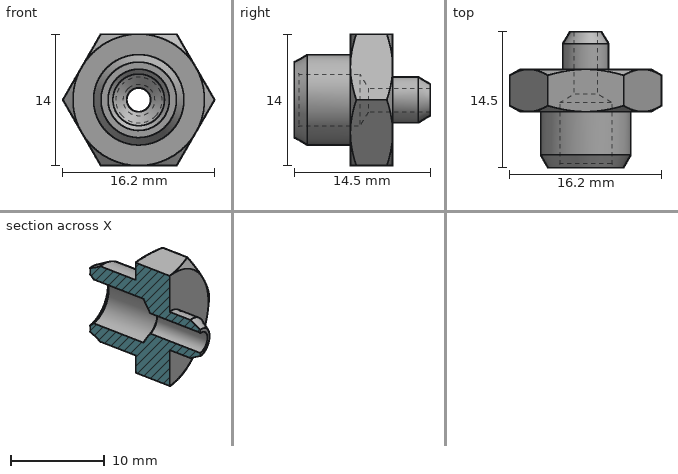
import cadquery as cq
import math

HEX_ACROSS_CORNERS = 16.17
HEX_ACROSS_FLATS = HEX_ACROSS_CORNERS * math.cos(math.radians(30))
HEX_THICKNESS = 4.5
HEX_CHAMFER_ANGLE = 30.0

FRONT_DIAMETER = 9.64
FRONT_TIP_DIAMETER = 8.04
FRONT_LENGTH = 6.0
FRONT_TAPER_LENGTH = 1.4

REAR_DIAMETER = 4.9
REAR_TIP_DIAMETER = 3.36
REAR_LENGTH = 4.01
REAR_TAPER_LENGTH = 1.28

MOUTH_DIAMETER = 6.53
BORE_DIAMETER = 5.5
BORE_DEPTH = 7.0
MOUTH_ANGLE = 45.0
DRILL_POINT_ANGLE = 118.0
THROUGH_DIAMETER = 2.5

FRONT_Y = -FRONT_LENGTH
REAR_Y = HEX_THICKNESS + REAR_LENGTH


def revolve_about_y(points):
    """Turn a closed (radius, y) outline about the Y axis."""
    return cq.Workplane("XY").polyline(points).close().revolve(360, (0, 0, 0), (0, 1, 0))


def hexagon():
    """Hexagonal prism with corners on X, both ends turned to a cone."""
    prism = (
        cq.Workplane("XZ")
        .polygon(6, HEX_ACROSS_CORNERS)
        .extrude(-HEX_THICKNESS)
    )
    face_radius = HEX_ACROSS_FLATS / 2
    slope = math.tan(math.radians(HEX_CHAMFER_ANGLE))
    rim_radius = HEX_ACROSS_CORNERS / 2 + 0.16
    rim_depth = (rim_radius - face_radius) * slope
    envelope = revolve_about_y([
        (0, 0),
        (face_radius, 0),
        (rim_radius, rim_depth),
        (rim_radius, HEX_THICKNESS - rim_depth),
        (face_radius, HEX_THICKNESS),
        (0, HEX_THICKNESS),
    ])
    return prism.intersect(envelope)


def spigots():
    """Both tapered spigots, joined by a core inside the hexagon."""
    return revolve_about_y([
        (0, FRONT_Y),
        (FRONT_TIP_DIAMETER / 2, FRONT_Y),
        (FRONT_DIAMETER / 2, FRONT_Y + FRONT_TAPER_LENGTH),
        (FRONT_DIAMETER / 2, 0),
        (REAR_DIAMETER / 2, HEX_THICKNESS),
        (REAR_DIAMETER / 2, REAR_Y - REAR_TAPER_LENGTH),
        (REAR_TIP_DIAMETER / 2, REAR_Y),
        (0, REAR_Y),
    ])


def passage():
    """Chamfered bore with a drill-point floor, continuing as a small through hole."""
    mouth_depth = (MOUTH_DIAMETER - BORE_DIAMETER) / 2 / math.tan(math.radians(MOUTH_ANGLE))
    bore_end = FRONT_Y + BORE_DEPTH
    point_depth = (
        (BORE_DIAMETER - THROUGH_DIAMETER) / 2 / math.tan(math.radians(DRILL_POINT_ANGLE / 2))
    )
    return revolve_about_y([
        (0, FRONT_Y),
        (MOUTH_DIAMETER / 2, FRONT_Y),
        (BORE_DIAMETER / 2, FRONT_Y + mouth_depth),
        (BORE_DIAMETER / 2, bore_end),
        (THROUGH_DIAMETER / 2, bore_end + point_depth),
        (THROUGH_DIAMETER / 2, REAR_Y),
        (0, REAR_Y),
    ])


result = hexagon().union(spigots()).cut(passage())